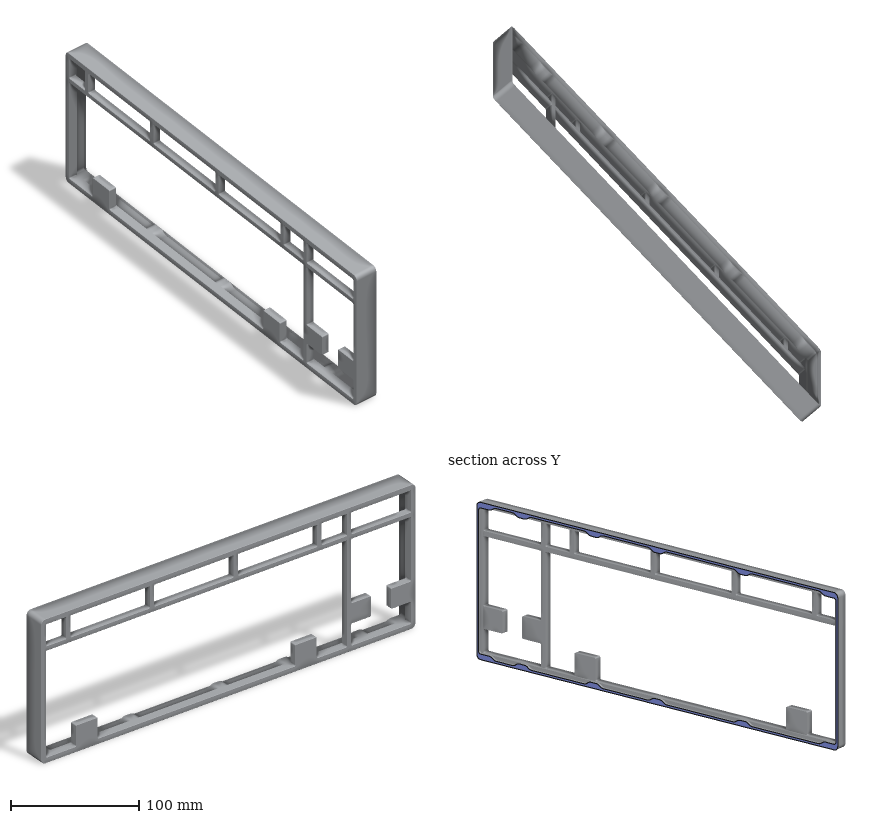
import cadquery as cq
import math

UNIT = 19.05
CLEARANCE = 0.25
GAP = 0.25 * UNIT
TOP_ROW_WIDTHS = (1, 4, 4, 4, 1.25, 3)
MAIN_WIDTH = 15.25
SIDE_WIDTH = 3
MAIN_ROWS = 5
CORNER_KEYS_WIDTH = 1.5
SPACE_ROW_WIDTH = 10

LENGTH = 361.93
DEPTH = 19.5
HEIGHT = 129.56
OUTER_RADIUS = 4.0
OPENING_RADIUS = 1.0
EDGE_CHAMFER = 0.25

PLATE_THICKNESS = 7.75
BAR_THICKNESS = 6.5
HOLLOW_WALL = 2.25
REBATE_WALL = 1.5
REBATE_DEPTH = 3.0

POST_POSITIONS = (-85.5, 0.0, 63.8, 135.5)
CORNER_POST_X = 171.0
POST_FLAT = 4.5
POST_BLEND_RADIUS = 6.0

FRONT_Y = -DEPTH / 2
BACK_Y = DEPTH / 2
BAR_BACK_Y = FRONT_Y + BAR_THICKNESS
PLATE_BACK_Y = FRONT_Y + PLATE_THICKNESS
REBATE_Y = BACK_Y - REBATE_DEPTH

FIELD_LENGTH = (MAIN_WIDTH + SIDE_WIDTH) * UNIT + GAP
FIELD_HEIGHT = (MAIN_ROWS + 1) * UNIT + GAP
FIELD_LEFT = -FIELD_LENGTH / 2
FIELD_BOTTOM = -FIELD_HEIGHT / 2
MAIN_RIGHT = FIELD_LEFT + MAIN_WIDTH * UNIT
SIDE_LEFT = MAIN_RIGHT + GAP
SIDE_RIGHT = SIDE_LEFT + SIDE_WIDTH * UNIT
TOP_ROW_BOTTOM = FIELD_BOTTOM + MAIN_ROWS * UNIT + GAP
BLOCKER_WIDTH = (MAIN_WIDTH - SPACE_ROW_WIDTH - 2 * CORNER_KEYS_WIDTH) / 2 * UNIT

HOLLOW_BOTTOM = -HEIGHT / 2 + HOLLOW_WALL
POST_TOP = FIELD_BOTTOM - CLEARANCE


def block(x_range, y_range, z_range):
    """Box between the given limits along each axis."""
    size = [high - low for low, high in (x_range, y_range, z_range)]
    return cq.Workplane("XY").box(*size, centered=False).translate((x_range[0], y_range[0], z_range[0]))


def key_area(left, bottom, width, height, margin=CLEARANCE):
    """Full-depth block over an area of keys, grown by the margin (shrunk if negative)."""
    return block(
        (left - margin, left + width + margin),
        (FRONT_Y, BACK_Y),
        (bottom - margin, bottom + height + margin),
    )


def top_row_openings():
    openings = []
    left = FIELD_LEFT
    for units in TOP_ROW_WIDTHS:
        openings.append(key_area(left, TOP_ROW_BOTTOM, units * UNIT, UNIT))
        left += units * UNIT + GAP
    return openings


def main_opening():
    """Main key block, with a blocker standing in the bottom row beside each corner group."""
    opening = key_area(FIELD_LEFT, FIELD_BOTTOM, MAIN_WIDTH * UNIT, MAIN_ROWS * UNIT)
    inset = CORNER_KEYS_WIDTH * UNIT
    for left in (FIELD_LEFT + inset, MAIN_RIGHT - inset - BLOCKER_WIDTH):
        blocker = key_area(left, FIELD_BOTTOM - UNIT, BLOCKER_WIDTH, 2 * UNIT, -CLEARANCE)
        opening = opening.cut(blocker)
    return opening


def side_opening():
    """Side key block, with a blocker on each side of the single key above the bottom row."""
    opening = key_area(SIDE_LEFT, FIELD_BOTTOM, SIDE_WIDTH * UNIT, MAIN_ROWS * UNIT)
    for left in (SIDE_LEFT - UNIT, SIDE_RIGHT - UNIT):
        opening = opening.cut(key_area(left, FIELD_BOTTOM + UNIT, 2 * UNIT, UNIT, -CLEARANCE))
    return opening


def room_behind_bars():
    """Space behind the bars and blockers, over the whole field of keys."""
    return block(
        (FIELD_LEFT - CLEARANCE, SIDE_RIGHT + CLEARANCE), (BAR_BACK_Y, BACK_Y), (POST_TOP, -POST_TOP)
    )


def interior(wall, front_y, back_y):
    """Space inside outer walls of the given thickness, between two depths."""
    x = LENGTH / 2 - wall
    z = HEIGHT / 2 - wall
    return block((-x, x), (front_y, back_y), (-z, z))


def post(flat_left, flat_right):
    """Bottom-wall post, flat on top between the given X limits, with S-shaped flanks of two arcs each."""
    turn = math.acos(1 - (POST_TOP - HOLLOW_BOTTOM) / (2 * POST_BLEND_RADIUS))
    arc_width = POST_BLEND_RADIUS * math.sin(turn)
    mid_x = POST_BLEND_RADIUS * math.sin(turn / 2)
    mid_z = POST_BLEND_RADIUS * (1 - math.cos(turn / 2))
    half_height_z = (POST_TOP + HOLLOW_BOTTOM) / 2
    foot_left = flat_left - 2 * arc_width
    foot_right = flat_right + 2 * arc_width
    return (
        cq.Workplane("XZ", origin=(0, REBATE_Y, 0))
        .moveTo(foot_left, HOLLOW_BOTTOM)
        .threePointArc((foot_left + mid_x, HOLLOW_BOTTOM + mid_z), (flat_left - arc_width, half_height_z))
        .threePointArc((flat_left - mid_x, POST_TOP - mid_z), (flat_left, POST_TOP))
        .lineTo(flat_right, POST_TOP)
        .threePointArc((flat_right + mid_x, POST_TOP - mid_z), (flat_right + arc_width, half_height_z))
        .threePointArc((foot_right - mid_x, HOLLOW_BOTTOM + mid_z), (foot_right, HOLLOW_BOTTOM))
        .close()
        .extrude(REBATE_Y - PLATE_BACK_Y)
    )


def all_posts():
    """Posts of the bottom wall; the corner posts run on into the end walls."""
    posts = [post(x - POST_FLAT / 2, x + POST_FLAT / 2) for x in POST_POSITIONS]
    corner_flat = CORNER_POST_X - POST_FLAT / 2
    posts.append(post(-LENGTH / 2, -corner_flat))
    posts.append(post(corner_flat, LENGTH / 2))
    return posts


def hollow():
    """Space between front plate and rebate, with posts on both long walls and rounded corners."""
    space = interior(HOLLOW_WALL, PLATE_BACK_Y, REBATE_Y)
    for bottom_post in all_posts():
        space = space.cut(bottom_post).cut(bottom_post.mirror("XY"))
    end_edges = space.faces("<X or >X").edges("|Y")
    return end_edges.fillet(OUTER_RADIUS - HOLLOW_WALL)


frame = block((-LENGTH / 2, LENGTH / 2), (FRONT_Y, BACK_Y), (-HEIGHT / 2, HEIGHT / 2))
frame = frame.edges("|Y").fillet(OUTER_RADIUS)

rebate = interior(REBATE_WALL, REBATE_Y, BACK_Y).edges("|Y").fillet(OUTER_RADIUS - REBATE_WALL)
frame = frame.cut(hollow()).cut(rebate).cut(room_behind_bars())

for key_opening in top_row_openings() + [main_opening(), side_opening()]:
    frame = frame.cut(key_opening.edges("|Y").fillet(OPENING_RADIUS))

result = frame.faces("<Y").edges().chamfer(EDGE_CHAMFER)